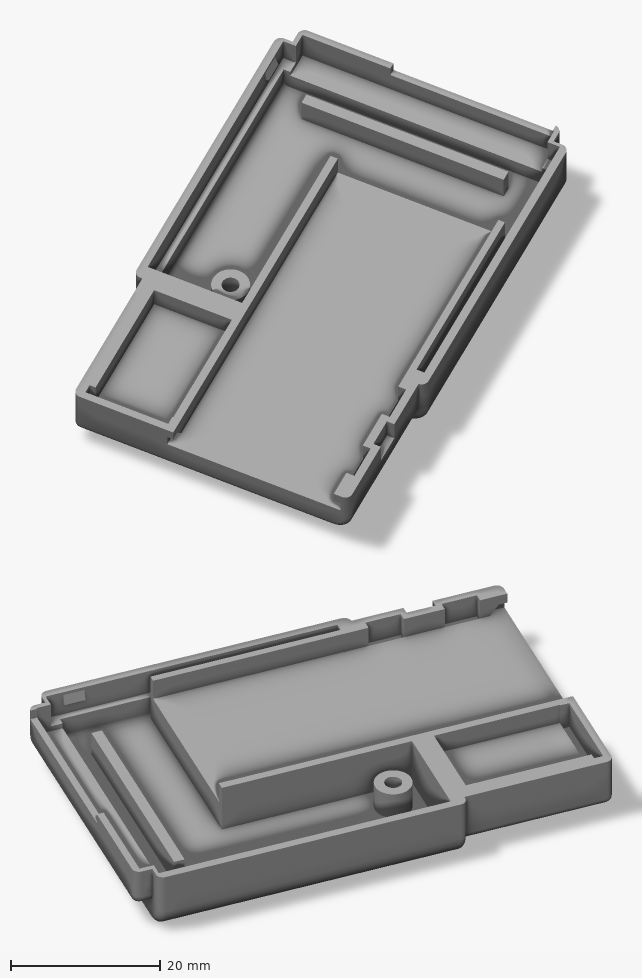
import cadquery as cq
LENGTH = 68.75
WIDTH = 43.4
HEIGHT = 9.1
EDGE_RADIUS = 1.0

BODY_FRONT = 21.6
BODY_BACK = 66.2
BODY_SIDE_RADIUS = 3.0

TONGUE_LEFT = -20.35
TONGUE_RIGHT = 20.7
TONGUE_BOTTOM = 1.7
TONGUE_LEFT_RADIUS = 1.0
TONGUE_RIGHT_RADIUS = 2.5

LIP_HALF_WIDTH = 19.4
LIP_BOTTOM = 3.3
LIP_SIDE_RADIUS = 1.45
LIP_SIDE_WALL = 0.7
LIP_BACK_WALL = 0.95
LIP_FLOOR = 4.55
LIP_NOTCH_LEFT = -5.65
LIP_NOTCH_RIGHT = 18.5
LIP_NOTCH_BOTTOM = 7.6

CAVITY_FRONT = 23.65
CAVITY_BACK = 64.0
CAVITY_FLOOR = 2.0
CAVITY_HALF_WIDTH = 19.65
CAVITY_RADIUS = 0.7
LEDGE_HEIGHT = 5.35
LEDGE_HALF_WIDTH = 20.55
LEDGE_BACK = 65.7

BLOCK_LEFT = -6.5
BLOCK_RIGHT = 19.4
BLOCK_BACK = 51.1
CHANNEL_LEFT = -5.4
CHANNEL_RIGHT = 18.4
CHANNEL_FLOOR = 6.0

UNDERCUT_LEFT = -6.3
UNDERCUT_RIGHT = 19.45
UNDERCUT_TOP = 7.55
UNDERCUT_DEPTH = 2.5
UNDERCUT_TOP_DEPTH = 1.25

POCKET_LEFT = -18.1
POCKET_BACK = 20.5
SLOT_LEFT = -19.0
SLOT_RIGHT = -6.7
SLOT_FRONT = 1.0
SLOT_BACK = 2.35
SLOT_FLOOR = 5.0

RECESS_CENTER = 11.95
RECESS_PITCH = 11.0
RECESS_LENGTH = 5.1
RECESS_WALL = 19.6
RECESS_FLOOR = 5.5
OUTER_NOTCH_LENGTH = 4.2

BOSS_X = -10.25
BOSS_Y = 27.85
BOSS_DIAMETER = 5.2
BOSS_TOP = CHANNEL_FLOOR
SCREW_DIAMETER = 2.4

RIB_LENGTH = 30.05
RIB_FRONT = 59.8
RIB_THICKNESS = 1.5
RIB_TOP = 5.65

WEDGE_FRONT = 60.15
WEDGE_LENGTH = 3.0
WEDGE_TOP = 8.6
WEDGE_HEIGHT = 1.4
WEDGE_DEPTH = 0.5


def block(x_range, y_range, z_range):
    """Box spanning the given (low, high) ranges."""
    x_low, x_high = x_range
    y_low, y_high = y_range
    z_low, z_high = z_range
    return cq.Workplane("XY").box(
        x_high - x_low, y_high - y_low, z_high - z_low, centered=False
    ).translate((x_low, y_low, z_low))


def centered_range(center, length):
    return (center - length / 2, center + length / 2)


def rounded_block(x_range, y_range, bottom, left_radius, right_radius, end_faces):
    """Full-height block with rounded lower side edges and rounded end faces."""
    solid = block(x_range, y_range, (bottom, HEIGHT))
    solid = solid.edges("|Y and <X").edges("<Z").fillet(left_radius)
    solid = solid.edges("|Y and >X").edges("<Z").fillet(right_radius)
    for face in end_faces:
        solid = solid.faces(face).edges("not >Z").fillet(EDGE_RADIUS)
    return solid


def make_outside():
    half_width = WIDTH / 2
    body = rounded_block((-half_width, half_width), (BODY_FRONT, BODY_BACK), 0,
                         BODY_SIDE_RADIUS, BODY_SIDE_RADIUS, ("<Y", ">Y"))
    tongue = rounded_block((TONGUE_LEFT, TONGUE_RIGHT), (0, CAVITY_FRONT), TONGUE_BOTTOM,
                           TONGUE_LEFT_RADIUS, TONGUE_RIGHT_RADIUS, ("<Y",))
    lip = rounded_block((-LIP_HALF_WIDTH, LIP_HALF_WIDTH), (CAVITY_BACK, LENGTH), LIP_BOTTOM,
                        LIP_SIDE_RADIUS, LIP_SIDE_RADIUS, (">Y",))
    return body.union(tongue).union(lip)


def make_cavity():
    lower = block((-CAVITY_HALF_WIDTH, CAVITY_HALF_WIDTH), (CAVITY_FRONT, CAVITY_BACK),
                  (CAVITY_FLOOR, HEIGHT)).edges("|Y and <Z").fillet(CAVITY_RADIUS)
    upper = block((-LEDGE_HALF_WIDTH, LEDGE_HALF_WIDTH), (CAVITY_FRONT, LEDGE_BACK),
                  (LEDGE_HEIGHT, HEIGHT))
    lip_inside = LIP_HALF_WIDTH - LIP_SIDE_WALL
    lip = block((-lip_inside, lip_inside), (CAVITY_BACK, LENGTH - LIP_BACK_WALL),
                (LIP_FLOOR, HEIGHT))
    lip_notch = block((LIP_NOTCH_LEFT, LIP_NOTCH_RIGHT), (LEDGE_BACK, LENGTH),
                      (LIP_NOTCH_BOTTOM, HEIGHT))
    return lower.union(upper).union(lip).union(lip_notch)


def make_channel():
    channel = block((CHANNEL_LEFT, CHANNEL_RIGHT), (0, BLOCK_BACK), (CHANNEL_FLOOR, HEIGHT))
    undercut_profile = [
        (0, CHANNEL_FLOOR),
        (UNDERCUT_DEPTH, CHANNEL_FLOOR),
        (UNDERCUT_TOP_DEPTH, UNDERCUT_TOP),
        (0, UNDERCUT_TOP),
    ]
    undercut = (cq.Workplane("YZ").workplane(offset=UNDERCUT_LEFT).polyline(undercut_profile)
                .close().extrude(UNDERCUT_RIGHT - UNDERCUT_LEFT))
    return channel.union(undercut)


def make_pocket():
    pocket = block((POCKET_LEFT, BLOCK_LEFT), (SLOT_BACK, POCKET_BACK),
                   (CHANNEL_FLOOR, HEIGHT))
    slot = block((SLOT_LEFT, SLOT_RIGHT), (SLOT_FRONT, SLOT_BACK), (SLOT_FLOOR, HEIGHT))
    return pocket.union(slot)


def make_wall_recesses():
    recesses = block((RECESS_WALL, TONGUE_RIGHT),
                     centered_range(RECESS_CENTER, OUTER_NOTCH_LENGTH), (CHANNEL_FLOOR, HEIGHT))
    for side in (-1, 1):
        center = RECESS_CENTER + side * RECESS_PITCH / 2
        recesses = recesses.union(block((CHANNEL_RIGHT, RECESS_WALL),
                                        centered_range(center, RECESS_LENGTH),
                                        (RECESS_FLOOR, HEIGHT)))
    return recesses


def make_rib():
    return block(centered_range(0, RIB_LENGTH), (RIB_FRONT, RIB_FRONT + RIB_THICKNESS),
                 (CAVITY_FLOOR, RIB_TOP))


def make_wedge():
    """Snap wedge on the right wall, sloping inwards from top to bottom."""
    bottom = WEDGE_TOP - WEDGE_HEIGHT
    profile = [
        (LEDGE_HALF_WIDTH, WEDGE_TOP),
        (LEDGE_HALF_WIDTH, bottom),
        (LEDGE_HALF_WIDTH - WEDGE_DEPTH, bottom),
    ]
    wedge = cq.Workplane("XZ").polyline(profile).close().extrude(-WEDGE_LENGTH)
    return wedge.translate((0, WEDGE_FRONT, 0))


def make_boss():
    return (cq.Workplane("XY").workplane(offset=CAVITY_FLOOR).center(BOSS_X, BOSS_Y)
            .circle(BOSS_DIAMETER / 2).extrude(BOSS_TOP - CAVITY_FLOOR))


def make_screw_hole():
    return (cq.Workplane("XY").center(BOSS_X, BOSS_Y)
            .circle(SCREW_DIAMETER / 2).extrude(BOSS_TOP))


channel_block = block((BLOCK_LEFT, BLOCK_RIGHT), (CAVITY_FRONT, BLOCK_BACK), (CAVITY_FLOOR, HEIGHT))
wedge = make_wedge()

result = make_outside().cut(make_cavity())
for addition in (channel_block, make_boss(), make_rib(), wedge, wedge.mirror("YZ")):
    result = result.union(addition)
for removal in (make_channel(), make_pocket(), make_wall_recesses(), make_screw_hole()):
    result = result.cut(removal)